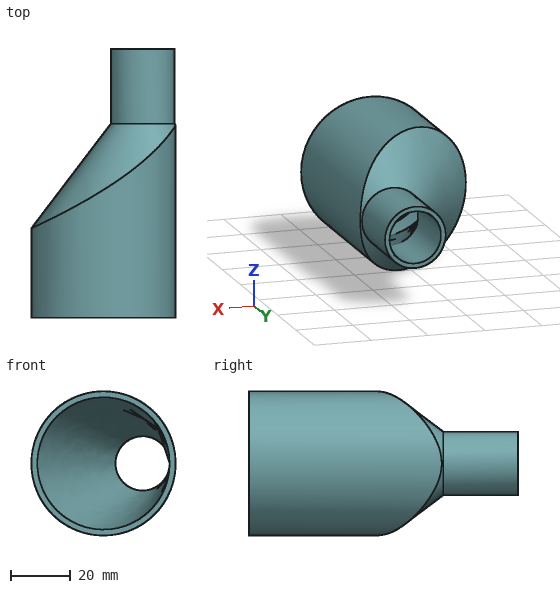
import cadquery as cq

total_length = 90.0
wide_diameter = 48.3
wide_bore = 44.3
narrow_diameter = 21.3
narrow_bore = 18.1
narrow_length = 25.0
wide_bore_depth = 10.0

narrow_offset = (wide_bore - narrow_bore) / 2

shoulder_end = total_length - narrow_length
shoulder_start = 30.0


def cylinder_along_y(diameter, start, end, offset):
    """Cylinder from Y=start to Y=end with its axis at X=offset."""
    base = cq.Workplane("XZ", origin=(offset, start, 0))
    return base.circle(diameter / 2).extrude(start - end)


def shoulder_envelope():
    """Cone about the narrow axis with a straight skirt down to the open end."""
    skirt_radius = narrow_offset + wide_diameter / 2
    half_profile = [
        (0, 0),
        (skirt_radius, 0),
        (skirt_radius, shoulder_start),
        (narrow_diameter / 2, shoulder_end),
        (0, shoulder_end),
    ]
    profile = cq.Workplane("XY", origin=(narrow_offset, 0, 0)).polyline(half_profile).close()
    return profile.revolve(360, (0, 0, 0), (0, 1, 0))


def outer_body():
    wide_tube = cylinder_along_y(wide_diameter, 0, shoulder_end, 0)
    narrow_tube = cylinder_along_y(narrow_diameter, shoulder_end, total_length, narrow_offset)
    return wide_tube.intersect(shoulder_envelope()).union(narrow_tube)


def passage():
    """Straight wide bore, oblique taper and straight narrow bore."""
    wide_part = cylinder_along_y(wide_bore, 0, wide_bore_depth, 0)
    taper = (
        cq.Workplane("XZ", origin=(0, wide_bore_depth, 0))
        .circle(wide_bore / 2)
        .workplane(offset=wide_bore_depth - shoulder_end)
        .center(narrow_offset, 0)
        .circle(narrow_bore / 2)
        .loft(ruled=True)
    )
    narrow_part = cylinder_along_y(narrow_bore, shoulder_end, total_length, narrow_offset)
    return wide_part.union(taper).union(narrow_part)


result = outer_body().cut(passage())